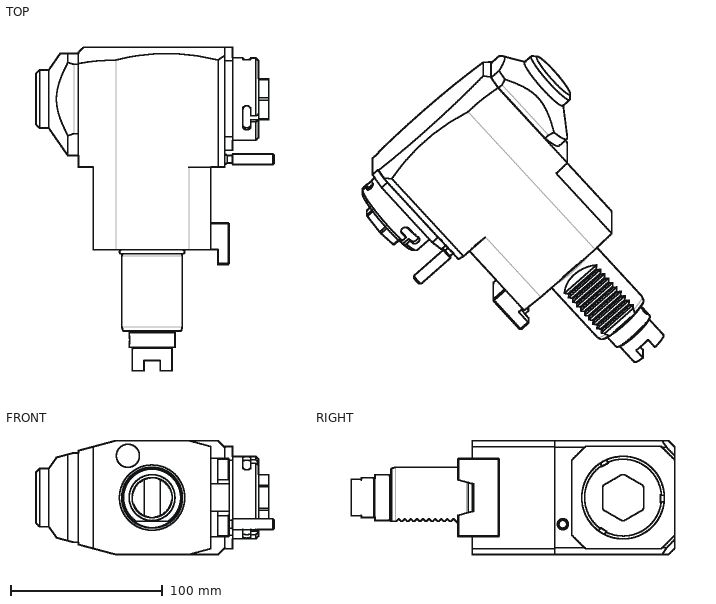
import cadquery as cq
import math

HALF_HEIGHT = 37.5
BACK_Y = 133.4
OVERALL_LENGTH = 213.0
STEP_Y = 54.5
HEAD_LEFT_X = -48.5
HEAD_RIGHT_X = 47.9
NECK_HALF_WIDTH = 38.75
FLAT_HALF_WIDTH = 24.0
SLOPE = math.tan(math.radians(15))
HEAD_RIGHT_CHAMFER = 4.5
BACK_LEFT_CHAMFER = 3.4
BACK_CONE_X = 9.7
BACK_CONE_RADIUS = 124.0
BACK_CONE_CREST_Z = 33.4
PLUG_X, PLUG_Z = -15.9, 27.5
PLUG_RADIUS = 7.6
PLUG_RECESS = 0.5

SPINDLE_Y = 99.3
PLATE_HALF = 33.7
PLATE_CHAMFER = 9.0
PLATE_RIGHT_X = 53.0
NUT_RADIUS = 27.2
NUT_RIGHT_X = 70.1
NUT_CHAMFER = 1.9
NUT_SLOT_COUNT = 3
NUT_FIRST_SLOT_ANGLE = 28.6
NUT_SLOT_X = 62.3
NUT_SLOT_WIDTH = 5.2
NUT_SLOT_HALF_ANGLE = 19.3
NUT_SLOT_DEPTH = 2.5
NUT_NOTCH_WIDTH = 4.5
HEX_ACROSS_FLATS = 27.0
HEX_TURNED_RADIUS = 15.2
HEX_RIGHT_X = 76.8

CAP_LEFT_X = -76.5
CAP_NOSE_RADIUS = 19.2
CAP_NOSE_CHAMFER = 2.5
CAP_NOSE_BASE_X = -68.0
CAP_RADIUS = 37.3
CAP_CONE_END_X = -55.4
CAP_BACK_Y = 129.3
CAP_HALF_HEIGHT = 29.5
CAP_SLOPE_START_X = -51.6

PIN_Y, PIN_Z = 59.7, -17.5
PIN_RADIUS = 3.6
PIN_NECK_RADIUS = 2.5
PIN_CHAMFER = 1.0
PIN_NECK_START_X = 49.4
PIN_BODY_X = 53.1
PIN_RIGHT_X = 80.33

BEAD_RADIUS = 21.5
BEAD_LENGTH = 2.6
UNDERCUT_RADIUS = 19.6
SHANK_RADIUS = 20.0
SHANK_START_Y = -3.9
SHANK_END_Y = -53.5
SHANK_END_TAPER_LENGTH = 3.0
SHANK_TIP_RADIUS = 19.3
GROOVE_WIDTH = 0.8
SHANK_GROOVE_RADIUS = 14.3
JOURNAL_RADIUS = 15.1
JOURNAL_END_Y = -64.0
TANG_RADIUS = 13.2
TANG_GROOVE_RADIUS = 12.7
TANG_END_Y = BACK_Y - OVERALL_LENGTH
TANG_SLOT_WIDTH = 10.6
TANG_SLOT_DEPTH = 6.8
EDGE_BREAK = 0.5
SCREW_HOLE_Y = -59.0
SCREW_HOLE_RADIUS = 2.8
SCREW_HOLE_DEPTH = 1.0
SCREW_SLOT_WIDTH = 1.4
SCREW_SLOT_DEPTH = 2.5

TOOTH_PITCH = 4.0
TOOTH_COUNT = 10
TOOTH_ROOT_Z = -14.0
TOOTH_TIP_Z = -15.6
FIRST_ROOT_Y = -12.3

KEY_RIGHT_X = 50.8
KEY_BACK_Y = 17.9
KEY_HALF_HEIGHT = 25.9
KEY_CHAMFER = 0.8
KEY_SETBACK = 0.3
KEY_GAP_FLOOR_Y = 1.0
LUG_LEFT_X = 43.3
LUG_END_Y = -9.6
GAP_HALF_HEIGHT = 9.1
GAP_MOUTH_HALF_HEIGHT = 11.8

OVERLAP = 0.5


def slope_z(x):
    """Height of the sloping side face of the housing at x (outside the flat)."""
    return HALF_HEIGHT - (abs(x) - FLAT_HALF_WIDTH) * SLOPE


def prism_along_y(upper_points, y_start, y_end):
    """Extrude along Y an (x, z) outline given by its upper half, mirrored in Z."""
    lower_points = [(x, -z) for x, z in reversed(upper_points)]
    outline = cq.Workplane("XZ", origin=(0, y_start, 0)).polyline(upper_points + lower_points)
    return outline.close().extrude(y_start - y_end)


def box_between(x_range, y_range, z_range):
    lengths = [high - low for low, high in (x_range, y_range, z_range)]
    corner = (x_range[0], y_range[0], z_range[0])
    return cq.Workplane("XY").box(*lengths, centered=False).translate(corner)


def turned_on_x(profile, y, z):
    """Revolve an (x, radius) profile, closed along its axis, about the X line at (y, z)."""
    points = [(profile[0][0], 0)] + profile + [(profile[-1][0], 0)]
    solid = cq.Workplane("XY").polyline(points).close().revolve(360, (0, 0, 0), (1, 0, 0))
    return solid.translate((0, y, z))


def back_cone(side):
    """Wide 45 degree cone about a Y axis that bevels the back of the housing: +1 top, -1 bottom."""
    base_radius = BACK_CONE_RADIUS + BACK_Y
    axis_z = side * (BACK_CONE_CREST_Z - BACK_CONE_RADIUS)
    profile = [(0, BACK_Y), (BACK_CONE_RADIUS, BACK_Y), (base_radius, 0), (0, 0)]
    cone = cq.Workplane("XY").polyline(profile).close().revolve(360, (0, 0, 0), (0, 1, 0))
    return cone.translate((BACK_CONE_X, 0, axis_z))


def make_housing():
    neck_points = [
        (-NECK_HALF_WIDTH, slope_z(NECK_HALF_WIDTH)),
        (-FLAT_HALF_WIDTH, HALF_HEIGHT),
        (FLAT_HALF_WIDTH, HALF_HEIGHT),
        (NECK_HALF_WIDTH, slope_z(NECK_HALF_WIDTH)),
    ]
    head_points = [
        (HEAD_LEFT_X, slope_z(HEAD_LEFT_X)),
        (-FLAT_HALF_WIDTH, HALF_HEIGHT),
        (HEAD_RIGHT_X - HEAD_RIGHT_CHAMFER, HALF_HEIGHT),
        (HEAD_RIGHT_X, HALF_HEIGHT - HEAD_RIGHT_CHAMFER),
    ]
    neck = prism_along_y(neck_points, 0, STEP_Y + OVERLAP)
    head = prism_along_y(head_points, STEP_Y, BACK_Y)
    head = head.edges("|Z").edges("<X and >Y").chamfer(BACK_LEFT_CHAMFER)
    head = head.intersect(back_cone(1)).intersect(back_cone(-1))
    recess = cq.Workplane("XZ").center(PLUG_X, PLUG_Z).circle(PLUG_RADIUS).extrude(-PLUG_RECESS)
    return neck.union(head).cut(recess)


def make_cap():
    """Turned cover on the left, trimmed to the sloping outline of the head."""
    profile = [
        (CAP_LEFT_X, CAP_NOSE_RADIUS - CAP_NOSE_CHAMFER),
        (CAP_LEFT_X + CAP_NOSE_CHAMFER, CAP_NOSE_RADIUS),
        (CAP_NOSE_BASE_X, CAP_NOSE_RADIUS),
        (CAP_CONE_END_X, CAP_RADIUS),
        (HEAD_LEFT_X + OVERLAP, CAP_RADIUS),
    ]
    cap = turned_on_x(profile, SPINDLE_Y, 0)
    left_z = CAP_HALF_HEIGHT - (CAP_SLOPE_START_X - CAP_LEFT_X) * SLOPE
    trim_points = [
        (CAP_LEFT_X, left_z),
        (CAP_SLOPE_START_X, CAP_HALF_HEIGHT),
        (HEAD_LEFT_X + OVERLAP, CAP_HALF_HEIGHT),
    ]
    trim = prism_along_y(trim_points, SPINDLE_Y - CAP_RADIUS, CAP_BACK_Y)
    return cap.intersect(trim)


def make_plate():
    y_range = (SPINDLE_Y - PLATE_HALF, BACK_Y)
    plate = box_between((HEAD_RIGHT_X, PLATE_RIGHT_X), y_range, (-PLATE_HALF, PLATE_HALF))
    return plate.edges("|X").chamfer(PLATE_CHAMFER)


def make_nut_slot():
    """Curved slot with rounded ends and its outlet to the nut face, at the +Z position."""
    reach = 2 * NUT_RADIUS
    half_length = NUT_RADIUS * math.sin(math.radians(NUT_SLOT_HALF_ANGLE))
    floor = NUT_RADIUS - NUT_SLOT_DEPTH
    slot = cq.Workplane("XY").slot2D(2 * half_length, NUT_SLOT_WIDTH, 90).extrude(reach)
    slot = slot.translate((NUT_SLOT_X, 0, 0))
    outlet = box_between((NUT_SLOT_X, NUT_RIGHT_X), (-NUT_NOTCH_WIDTH / 2, NUT_NOTCH_WIDTH / 2), (0, reach))
    core = turned_on_x([(0, floor), (NUT_RIGHT_X, floor)], 0, 0)
    return slot.union(outlet).cut(core)


def make_nut():
    profile = [
        (PLATE_RIGHT_X - OVERLAP, NUT_RADIUS),
        (NUT_RIGHT_X - NUT_CHAMFER, NUT_RADIUS),
        (NUT_RIGHT_X, NUT_RADIUS - NUT_CHAMFER),
    ]
    nut = turned_on_x(profile, 0, 0)
    slot = make_nut_slot()
    for index in range(NUT_SLOT_COUNT):
        angle = NUT_FIRST_SLOT_ANGLE + index * 360 / NUT_SLOT_COUNT
        nut = nut.cut(slot.rotate((0, 0, 0), (1, 0, 0), angle))
    hex_base_x = NUT_RIGHT_X - OVERLAP
    hex_diameter = HEX_ACROSS_FLATS / math.cos(math.radians(30))
    hexagon = cq.Workplane("YZ", origin=(hex_base_x, 0, 0)).polygon(6, hex_diameter)
    hexagon = hexagon.extrude(HEX_RIGHT_X - hex_base_x).rotate((0, 0, 0), (1, 0, 0), 90)
    turned = turned_on_x([(hex_base_x, HEX_TURNED_RADIUS), (HEX_RIGHT_X, HEX_TURNED_RADIUS)], 0, 0)
    return nut.union(hexagon.intersect(turned)).translate((0, SPINDLE_Y, 0))


def make_pin():
    profile = [
        (HEAD_RIGHT_X - OVERLAP, PIN_RADIUS),
        (HEAD_RIGHT_X, PIN_RADIUS),
        (PIN_NECK_START_X, PIN_NECK_RADIUS),
        (PIN_BODY_X - EDGE_BREAK, PIN_NECK_RADIUS),
        (PIN_BODY_X, PIN_RADIUS),
        (PIN_RIGHT_X - PIN_CHAMFER, PIN_RADIUS),
        (PIN_RIGHT_X, PIN_RADIUS - PIN_CHAMFER),
    ]
    return turned_on_x(profile, PIN_Y, PIN_Z)


def make_tooth_cutter():
    """Material taken off the underside of the shank: a 45 degree run-in, then V grooves."""
    below_z = -BEAD_RADIUS
    flank_width = TOOTH_ROOT_Z - TOOTH_TIP_Z
    points = [(FIRST_ROOT_Y + TOOTH_ROOT_Z - below_z, below_z)]
    for index in range(TOOTH_COUNT):
        root_y = FIRST_ROOT_Y - index * TOOTH_PITCH
        if index > 0:
            points.append((root_y + flank_width, TOOTH_TIP_Z))
        points.append((root_y, TOOTH_ROOT_Z))
        points.append((root_y - flank_width, TOOTH_TIP_Z))
    end_y = SHANK_END_Y - OVERLAP
    points += [(end_y, TOOTH_TIP_Z), (end_y, below_z)]
    return cq.Workplane("YZ").polyline(points).close().extrude(SHANK_RADIUS, both=True)


def make_shank():
    bead_base_radius = BEAD_RADIUS - BEAD_LENGTH / 2
    outline = cq.Workplane("XY").moveTo(0, OVERLAP)
    outline = outline.lineTo(bead_base_radius, OVERLAP).lineTo(bead_base_radius, 0)
    outline = outline.threePointArc((BEAD_RADIUS, -BEAD_LENGTH / 2), (bead_base_radius, -BEAD_LENGTH))
    profile = [
        (UNDERCUT_RADIUS, -BEAD_LENGTH),
        (SHANK_RADIUS, SHANK_START_Y),
        (SHANK_RADIUS, SHANK_END_Y + SHANK_END_TAPER_LENGTH),
        (SHANK_TIP_RADIUS, SHANK_END_Y + EDGE_BREAK),
        (SHANK_TIP_RADIUS - EDGE_BREAK, SHANK_END_Y),
        (SHANK_GROOVE_RADIUS, SHANK_END_Y),
        (SHANK_GROOVE_RADIUS, SHANK_END_Y - GROOVE_WIDTH),
        (JOURNAL_RADIUS, SHANK_END_Y - GROOVE_WIDTH),
        (JOURNAL_RADIUS, JOURNAL_END_Y),
        (TANG_GROOVE_RADIUS, JOURNAL_END_Y),
        (TANG_GROOVE_RADIUS, JOURNAL_END_Y - GROOVE_WIDTH),
        (TANG_RADIUS, JOURNAL_END_Y - GROOVE_WIDTH),
        (TANG_RADIUS, TANG_END_Y),
        (0, TANG_END_Y),
    ]
    for point in profile:
        outline = outline.lineTo(*point)
    shank = outline.close().revolve(360, (0, 0, 0), (0, 1, 0))

    half_slot = TANG_SLOT_WIDTH / 2
    slot_y = (TANG_END_Y, TANG_END_Y + TANG_SLOT_DEPTH)
    tang_slot = box_between((-half_slot, half_slot), slot_y, (-TANG_RADIUS, TANG_RADIUS))
    screw_plane = cq.Workplane("YZ", origin=(-JOURNAL_RADIUS, SCREW_HOLE_Y, 0))
    screw_hole = screw_plane.circle(SCREW_HOLE_RADIUS).extrude(SCREW_HOLE_DEPTH)
    screw_slot = screw_plane.circle(SCREW_HOLE_RADIUS).extrude(SCREW_SLOT_DEPTH)
    slot_sides = screw_plane.rect(SCREW_SLOT_WIDTH, 2 * SCREW_HOLE_RADIUS).extrude(SCREW_SLOT_DEPTH)
    screw_slot = screw_slot.intersect(slot_sides)
    return shank.cut(make_tooth_cutter()).cut(tang_slot).cut(screw_hole).cut(screw_slot)


def make_key():
    """Key block on the right with two lugs that reach past the mounting face."""
    z_range = (-KEY_HALF_HEIGHT, KEY_HALF_HEIGHT)
    key = box_between((NECK_HALF_WIDTH - OVERLAP, KEY_RIGHT_X), (LUG_END_Y, KEY_BACK_Y), z_range)
    key = key.edges(">X or >Y or (<Y and |X)").edges("not <X").chamfer(KEY_CHAMFER)
    key = key.cut(box_between((0, LUG_LEFT_X), (LUG_END_Y, KEY_SETBACK), z_range))
    gap_points = [
        (KEY_GAP_FLOOR_Y, -GAP_HALF_HEIGHT),
        (KEY_GAP_FLOOR_Y, GAP_HALF_HEIGHT),
        (0, GAP_HALF_HEIGHT),
        (LUG_END_Y, GAP_MOUTH_HALF_HEIGHT),
        (LUG_END_Y, -GAP_MOUTH_HALF_HEIGHT),
        (0, -GAP_HALF_HEIGHT),
    ]
    return key.cut(cq.Workplane("YZ").polyline(gap_points).close().extrude(KEY_RIGHT_X))


result = make_housing()
for part in (make_cap(), make_plate(), make_nut(), make_pin(), make_shank(), make_key()):
    result = result.union(part)